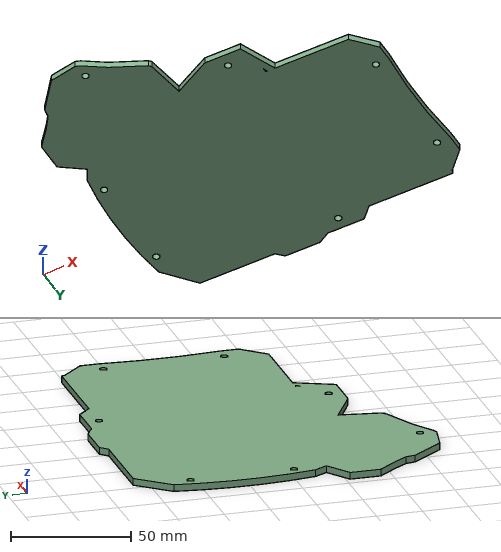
import cadquery as cq

thickness = 3.0
length = 151.4
width = 139.5
hole_diameter = 3.0

upper_edge = 136.4
right_upper_edge = 130.8
right_lower_edge = 41.0
tab_edge = 24.2

left_center_y = 91.5
left_half_height = 30.7
left_end_x = 7.1
left_bow = 2.5
left_hole_x = 10.6
left_hole_offset = 22.4

right_center_y = 85.7
right_half_height = 34.4
right_hollow_half_height = 26.2
right_hollow_depth = 1.4
right_corner_x = 142.1
right_hole_x = 145.0

notch_x = 103.0
notch_width = 0.6
notch_height = 1.8


def make_plate():
    """Plate outline, counter-clockwise from the top of the bowed left side."""
    outline = (
        cq.Workplane("XY")
        .moveTo(left_end_x, left_center_y + left_half_height)
        .threePointArc(
            (left_end_x - left_bow, left_center_y),
            (left_end_x, left_center_y - left_half_height),
        )
    )

    lobe = [
        (10.3, 55.2),
        (0, 48.0),
        (0, 34.7),
        (7.0, 26.2),
        (10.9, 20.6),
        (11.7, 16.3),
        (22.5, 2.4),
        (35.1, 0),
        (37.2, 0.8),
        (46.9, 7.1),
        (62.0, 14.4),
        (63.0, 15.5),
        (65.8, 33.6),
    ]
    lower_tab = [
        (83.2, tab_edge),
        (100.2, tab_edge),
        (107.3, right_lower_edge),
        (right_corner_x, right_lower_edge),
        (length, right_center_y - right_half_height),
        (length, right_center_y - right_hollow_half_height),
    ]
    for point in lobe + lower_tab:
        outline = outline.lineTo(*point)

    outline = outline.threePointArc(
        (length - right_hollow_depth, right_center_y),
        (length, right_center_y + right_hollow_half_height),
    )

    upper_side = [
        (length, right_center_y + right_half_height),
        (142.6, 129.3),
        (right_corner_x, right_upper_edge),
        (102.3, right_upper_edge),
        (96.9, upper_edge),
        (79.6, upper_edge),
        (74.2, width),
        (57.7, width),
        (54.5, upper_edge),
        (18.9, upper_edge),
    ]
    for point in upper_side:
        outline = outline.lineTo(*point)
    return outline.close().extrude(thickness)


def make_holes():
    """Through holes spread around the rim."""
    centers = [(36.2, 7.0), (91.0, 30.3), (87.6, right_upper_edge)]
    for side in (-1, 1):
        centers.append((left_hole_x, left_center_y + side * left_hole_offset))
        centers.append((right_hole_x, right_center_y + side * right_hollow_half_height))
    return cq.Workplane("XY").pushPoints(centers).circle(hole_diameter / 2).extrude(thickness)


def make_notch():
    """Tiny triangular through opening, level with the right lower edge."""
    corners = [
        (notch_x, right_lower_edge),
        (notch_x + notch_width, right_lower_edge),
        (notch_x, right_lower_edge - notch_height),
    ]
    return cq.Workplane("XY").polyline(corners).close().extrude(thickness)


result = make_plate().cut(make_holes()).cut(make_notch())